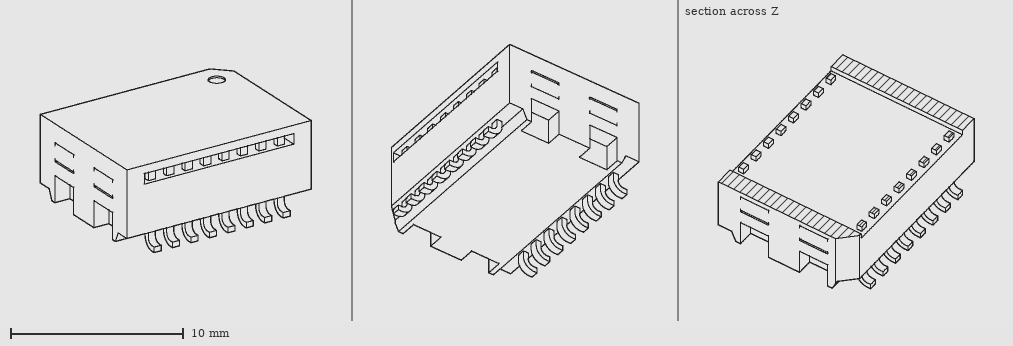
import cadquery as cq

BODY_LENGTH = 12.7
BODY_WIDTH = 9.25
SPAN_OVER_LEADS = 9.9
TOTAL_HEIGHT = 5.55

SHOULDER_DEPTH = 4.37
BODY_DEPTH = 5.03
KEEL_TOP_WIDTH = 7.37
KEEL_BOTTOM_WIDTH = 6.78
CORNER_CHAMFER = 1.0

WINDOW_LENGTH = 10.29
WINDOW_HEIGHT = 0.67
LID_THICKNESS = 0.53

LEADS_PER_SIDE = 8
LEAD_PITCH = 1.27
LEAD_WIDTH = 0.5
LEAD_THICKNESS = 0.35
BEND_INNER_RADIUS = 0.4
FOOT_FLAT_LENGTH = 0.23

MARK_DIAMETER = 1.0
MARK_INSET = 1.5
MARK_DEPTH = 0.1

LATCH_WIDTH = 1.95
LATCH_SPACING = 4.15
LATCH_HEIGHT = 1.21
LATCH_TOP_DEPTH = 1.21
LATCH_EDGE_RADIUS = 0.2
NOTCH_TOP_DEPTH = 3.3
NOTCH_INSET = 1.03

BODY_BOTTOM_Z = TOTAL_HEIGHT - BODY_DEPTH
SHOULDER_Z = TOTAL_HEIGHT - SHOULDER_DEPTH
WINDOW_TOP_Z = TOTAL_HEIGHT - LID_THICKNESS
END_Y = BODY_LENGTH / 2
SIDE_X = BODY_WIDTH / 2


def make_body():
    """Block with a tapered keel and one chamfered vertical corner."""
    half_section = [
        (0, TOTAL_HEIGHT),
        (SIDE_X, TOTAL_HEIGHT),
        (SIDE_X, SHOULDER_Z),
        (KEEL_TOP_WIDTH / 2, SHOULDER_Z),
        (KEEL_BOTTOM_WIDTH / 2, BODY_BOTTOM_Z),
        (0, BODY_BOTTOM_Z),
    ]
    body = cq.Workplane("XZ").polyline(half_section).mirrorY().extrude(END_Y, both=True)
    return body.edges("|Z and <X and >Y").chamfer(CORNER_CHAMFER)


def make_window():
    """Slot that passes through both long sides."""
    window = cq.Workplane("XY").box(BODY_WIDTH, WINDOW_LENGTH, WINDOW_HEIGHT)
    return window.translate((0, 0, WINDOW_TOP_Z - WINDOW_HEIGHT / 2))


def make_lead(y_center):
    """Lead on the -X side: a flat foot, a quarter bend and a post up to the lid."""
    tip_x = -SPAN_OVER_LEADS / 2
    bend_x = tip_x + FOOT_FLAT_LENGTH
    bend_z = LEAD_THICKNESS + BEND_INNER_RADIUS
    outer_radius = BEND_INNER_RADIUS + LEAD_THICKNESS
    outline = (
        cq.Workplane("XZ", origin=(0, y_center, 0))
        .moveTo(tip_x, 0)
        .lineTo(bend_x, 0)
        .radiusArc((bend_x + outer_radius, bend_z), -outer_radius)
        .lineTo(bend_x + outer_radius, WINDOW_TOP_Z)
        .lineTo(bend_x + BEND_INNER_RADIUS, WINDOW_TOP_Z)
        .lineTo(bend_x + BEND_INNER_RADIUS, bend_z)
        .radiusArc((bend_x, LEAD_THICKNESS), BEND_INNER_RADIUS)
        .lineTo(tip_x, LEAD_THICKNESS)
        .close()
    )
    return outline.extrude(LEAD_WIDTH / 2, both=True)


def make_pin_one_mark():
    """Shallow round recess next to the chamfered corner."""
    center = (MARK_INSET - SIDE_X, END_Y - MARK_INSET, TOTAL_HEIGHT)
    return cq.Workplane("XY", origin=center).circle(MARK_DIAMETER / 2).extrude(-MARK_DEPTH)


def make_latch_grooves(x_center):
    """Grooves above and below a flush latch on the -Y end; the latch edges are rounded."""
    latch_z = TOTAL_HEIGHT - LATCH_TOP_DEPTH - LATCH_HEIGHT / 2
    recess = cq.Workplane("XY").box(LATCH_WIDTH, LATCH_EDGE_RADIUS, LATCH_HEIGHT)
    latch = (
        cq.Workplane("XY")
        .box(LATCH_WIDTH, 2 * LATCH_EDGE_RADIUS, LATCH_HEIGHT)
        .translate((0, LATCH_EDGE_RADIUS / 2, 0))
        .edges("|X and <Y")
        .fillet(LATCH_EDGE_RADIUS)
    )
    grooves = recess.cut(latch)
    return grooves.translate((x_center, LATCH_EDGE_RADIUS / 2 - END_Y, latch_z))


def make_notch(x_center):
    """Notch in the -Y end, open to the underside."""
    height = BODY_DEPTH - NOTCH_TOP_DEPTH
    notch = cq.Workplane("XY").box(LATCH_WIDTH, NOTCH_INSET, height)
    return notch.translate((x_center, NOTCH_INSET / 2 - END_Y, BODY_BOTTOM_Z + height / 2))


result = make_body().cut(make_window()).cut(make_pin_one_mark())

for x_center in (-LATCH_SPACING / 2, LATCH_SPACING / 2):
    for end_feature in (make_latch_grooves(x_center), make_notch(x_center)):
        result = result.cut(end_feature).cut(end_feature.mirror("XZ"))

for index in range(LEADS_PER_SIDE):
    lead = make_lead((index - (LEADS_PER_SIDE - 1) / 2) * LEAD_PITCH)
    result = result.union(lead).union(lead.mirror("YZ"))